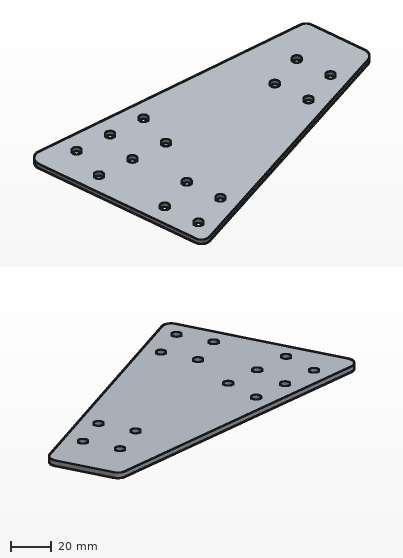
import cadquery as cq
import math

width = 103.2
height = 153.5
thickness = 3.2
corner_radius = 5.0
top_left_center_x = -36.5

hole_diameter = 5.0
pitch = 20.0
column_count = 2
edge_margin = 10.0
upper_group_y = 110.0
slanted_group_x = -69.0

right_center_x = -corner_radius
bottom_left_center_x = corner_radius - width
low_center_y = corner_radius
high_center_y = height - corner_radius
corner_centers = [
    (bottom_left_center_x, low_center_y),
    (right_center_x, low_center_y),
    (right_center_x, high_center_y),
    (top_left_center_x, high_center_y),
]

slant_angle = math.atan2(
    high_center_y - low_center_y,
    top_left_center_x - bottom_left_center_x,
)


def hole_grid(start_x, start_y, rows, angle):
    """Two columns of holes running along angle, the second lying to the left of the first."""
    along_x = pitch * math.cos(angle)
    along_y = pitch * math.sin(angle)
    return [
        (start_x + row * along_x - column * along_y, start_y + row * along_y + column * along_x)
        for row in range(rows)
        for column in range(column_count)
    ]


def make_plate():
    """Offset the polygon of corner centres outward to round every corner."""
    return cq.Workplane("XY").polyline(corner_centers).close().offset2D(corner_radius).extrude(thickness)


upright = math.pi / 2
hole_points = (
    hole_grid(-edge_margin, edge_margin, 2, upright)
    + hole_grid(-edge_margin, upper_group_y, 2, upright)
    + hole_grid(slanted_group_x, edge_margin, 3, slant_angle)
)

holes = cq.Workplane("XY").pushPoints(hole_points).circle(hole_diameter / 2).extrude(thickness)
result = make_plate().cut(holes)